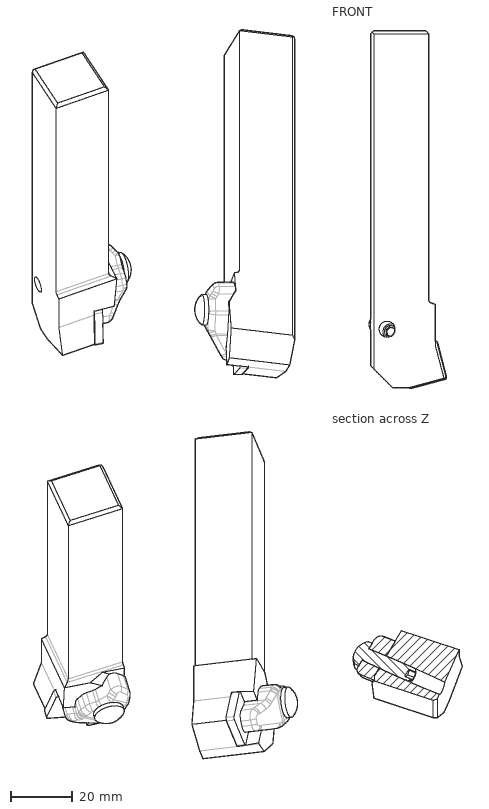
import cadquery as cq
import math


shank_side = 19.0
holder_height = 116.6
shank_chamfer = 1.0

head_width = 21.1
shoulder_z = 28.0
shoulder_slope = math.radians(20)
shoulder_fillet = 0.9
corner_cut = 7.2
flat_end_x = 12.3
tooth_x = 24.0
tooth_z = 3.2
tooth_top_z = 13.8

tilt_x = -0.11
tilt_z = 0.075
pad_y = 21.3

insert_side = 13.0
insert_thickness = 2.8
insert_nose_radius = 0.8
insert_angle = 15
insert_corner = (25.0, 14.3, 2.9)

screw_x = 5.4
screw_z = 19.2
screw_diameter = 5.1
screw_recess = 10.5
screw_end_chamfer = 0.6
socket_width = 2.8
socket_depth = 2.3
head_diameter = 10.0
head_rim = 1.4
head_dome = 2.3

clamp_angle = 50
clamp_thickness = 6.3
clamp_skirt = 10.5
clamp_corner_fillet = 2.9
clamp_edge_fillet = 2.0
finger_end = 16.7
finger_half_width = 3.3
finger_slope_start = 5.8
finger_slope = math.radians(30)
heel_slope_start = 5.0
heel_slope = math.radians(35)
groove_depth = 2.6
groove_start = 7.7
groove_wall = 3.5

reach = 46.7


def tilted_plane(origin, angle):
    """Plane with the common tilt; its local x lies at an angle (degrees) from +X towards -Z."""
    dx = math.cos(math.radians(angle))
    dz = -math.sin(math.radians(angle))
    return cq.Plane(
        origin=origin,
        xDir=(dx, tilt_x * dx + tilt_z * dz, dz),
        normal=(-tilt_x, 1, -tilt_z),
    )


def screw_axis_point(y):
    return (screw_x - tilt_x * y, y, screw_z - tilt_z * y)


tilt_squared = tilt_x**2 + tilt_z**2
pad_cross_y = (pad_y + tilt_x * screw_x + tilt_z * screw_z) / (1 + tilt_squared)
axis_length_per_y = math.sqrt(1 + tilt_squared)
pad_centre = screw_axis_point(pad_cross_y)

clamp_plane = tilted_plane(pad_centre, clamp_angle)
along_clamp = clamp_plane.xDir
along_screw = clamp_plane.zDir
lengthwise_plane = cq.Plane(origin=pad_centre, xDir=along_clamp, normal=clamp_plane.yDir * -1)
insert_plane = tilted_plane(insert_corner, 180 - insert_angle)


def lengthwise_prism(outline):
    """Outline of (distance along the clamp, level) points, extended across the whole clamp."""
    return cq.Workplane(lengthwise_plane).polyline(outline).close().extrude(reach, both=True)


def space_above_pad():
    return cq.Workplane(clamp_plane).rect(2 * reach, 2 * reach).extrude(reach)


def groove_space():
    """Space of the heel groove, whose wall rises towards the insert."""
    return lengthwise_prism([
        (-reach, -groove_depth),
        (-groove_start, -groove_depth),
        (groove_wall - groove_start, 0),
        (-reach, 0),
    ])


def pocket_space():
    """Square space from the insert seat upwards."""
    return (
        cq.Workplane(insert_plane)
        .workplane(offset=-insert_thickness)
        .rect(insert_side, insert_side, centered=False)
        .extrude(reach)
    )


def screw_hole():
    return cq.Workplane(clamp_plane).circle(screw_diameter / 2).extrude(reach, both=True)


def make_head():
    """Head with a mitred sloping shoulder on its +X and +Y sides, cut off at the tilted pad."""
    slope = math.tan(shoulder_slope)
    front_outline = [
        (0, corner_cut),
        (corner_cut, 0),
        (flat_end_x, 0),
        (tooth_x, tooth_z),
        (head_width, tooth_top_z),
        (head_width, shoulder_z - (head_width - shank_side) * slope),
        (shank_side, shoulder_z),
        (0, shoulder_z),
    ]
    side_outline = [
        (0, 0),
        (reach, 0),
        (reach, shoulder_z - (reach - shank_side) * slope),
        (shank_side, shoulder_z),
        (0, shoulder_z),
    ]
    front = cq.Workplane("XZ").polyline(front_outline).close().extrude(-reach)
    side = cq.Workplane("YZ").polyline(side_outline).close().extrude(reach)
    return front.intersect(side).cut(space_above_pad())


def make_holder():
    shank = (
        cq.Workplane("XY")
        .workplane(offset=shoulder_z)
        .rect(shank_side, shank_side, centered=False)
        .extrude(holder_height - shoulder_z)
        .faces(">Z")
        .chamfer(shank_chamfer)
    )
    margin = 0.1
    shoulder_edges = cq.selectors.BoxSelector(
        (margin, margin, shoulder_z - margin),
        (shank_side + margin, shank_side + margin, shoulder_z + margin),
    )
    body = shank.union(make_head()).edges(shoulder_edges).fillet(shoulder_fillet)
    front_left_corner = (
        cq.Workplane("XY")
        .polyline([(0, 0), (shank_chamfer, 0), (0, shank_chamfer)])
        .close()
        .extrude(holder_height)
    )
    return body.cut(front_left_corner).cut(groove_space()).cut(pocket_space()).cut(screw_hole())


def make_insert():
    return (
        cq.Workplane(insert_plane)
        .rect(insert_side, insert_side, centered=False)
        .extrude(-insert_thickness)
        .edges(cq.selectors.ParallelDirSelector(along_screw))
        .fillet(insert_nose_radius)
    )


def make_clamp_blank():
    """Rounded clamp with a sloping finger and heel, before its underside is fitted."""
    plan_outline = [
        (-9.2, -3.2),
        (-1.2, -5.3),
        (1.8, -7.4),
        (5.8, -7.4),
        (9.9, -4.2),
        (finger_end, -finger_half_width),
        (finger_end, finger_half_width),
        (6.8, 6.3),
        (-0.7, 6.9),
        (-8.3, 4.2),
    ]
    plan = (
        cq.Workplane(clamp_plane)
        .workplane(offset=-clamp_skirt)
        .polyline(plan_outline)
        .close()
        .extrude(clamp_skirt + clamp_thickness)
        .edges(cq.selectors.ParallelDirSelector(along_screw))
        .fillet(clamp_corner_fillet)
    )
    finger_drop = (reach - finger_slope_start) * math.tan(finger_slope)
    heel_drop = (reach - heel_slope_start) * math.tan(heel_slope)
    side = lengthwise_prism([
        (-reach, -reach),
        (-reach, clamp_thickness - heel_drop),
        (-heel_slope_start, clamp_thickness),
        (finger_slope_start, clamp_thickness),
        (reach, clamp_thickness - finger_drop),
        (reach, -reach),
    ])
    blank = plan.intersect(side)
    finger_normal = along_clamp * math.sin(finger_slope) + along_screw * math.cos(finger_slope)
    heel_normal = along_clamp * -math.sin(heel_slope) + along_screw * math.cos(heel_slope)
    top_faces = (
        blank.faces(cq.selectors.DirectionMinMaxSelector(along_screw))
        .add(blank.faces(cq.selectors.ParallelDirSelector(finger_normal)))
        .add(blank.faces(cq.selectors.ParallelDirSelector(heel_normal)))
    )
    return top_faces.edges().fillet(clamp_edge_fillet)


def make_clamp():
    """Clamp that rests on the pad, in the heel groove and on the insert."""
    free_space = space_above_pad().union(groove_space()).union(pocket_space())
    return make_clamp_blank().intersect(free_space).cut(make_insert()).cut(screw_hole())


def make_screw():
    """Clamp screw with a domed head and a hexagon socket in its lower end."""
    shaft_radius = screw_diameter / 2
    head_radius = head_diameter / 2
    end_level = (screw_recess - pad_cross_y) * axis_length_per_y
    rim_level = clamp_thickness + head_rim
    dome_radius = (head_radius**2 + head_dome**2) / (2 * head_dome)
    mid_radius = head_radius / 2
    mid_rise = math.sqrt(dome_radius**2 - mid_radius**2) - (dome_radius - head_dome)
    turned = (
        cq.Workplane(lengthwise_plane)
        .moveTo(0, end_level)
        .lineTo(shaft_radius - screw_end_chamfer, end_level)
        .lineTo(shaft_radius, end_level + screw_end_chamfer)
        .lineTo(shaft_radius, clamp_thickness)
        .lineTo(head_radius, clamp_thickness)
        .lineTo(head_radius, rim_level)
        .threePointArc((mid_radius, rim_level + mid_rise), (0, rim_level + head_dome))
        .close()
        .revolve(360, (0, 0), (0, 1))
    )
    socket = (
        cq.Workplane(clamp_plane)
        .workplane(offset=end_level)
        .polygon(6, socket_width, circumscribed=True)
        .extrude(socket_depth)
    )
    return turned.cut(socket)


holder = make_holder().solids()
insert = make_insert().solids()
clamp = make_clamp().solids()
screw = make_screw().solids()

result = cq.Compound.makeCompound([holder.val(), insert.val(), clamp.val(), screw.val()])